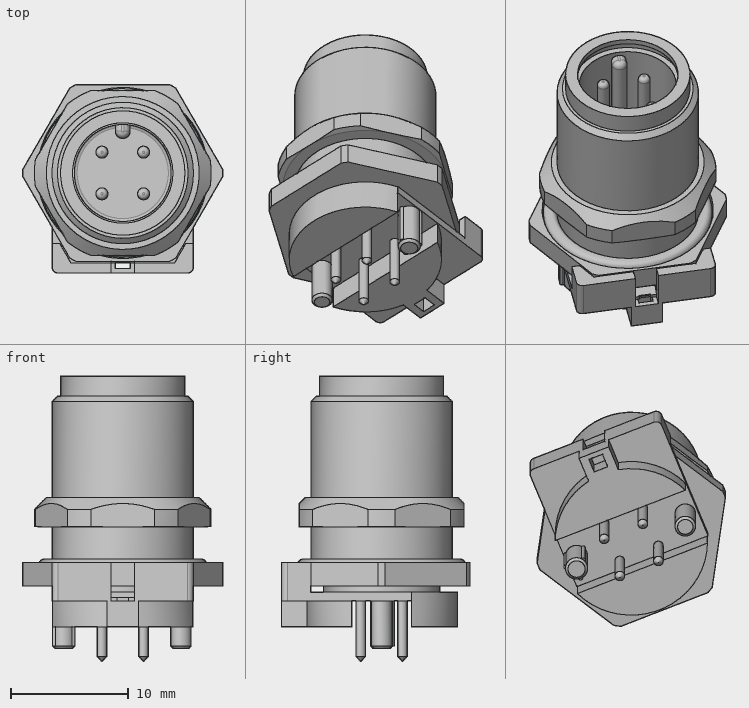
import cadquery as cq
import math


thread_radius = 6.0
thread_top = 13.65
thread_chamfer = 0.45
collar_radius = 5.28
collar_top = 15.8

mouth_radius = 4.25
undercut_radius = 4.62
mouth_depth = 0.48
undercut_depth = 1.25
socket_radius = 4.11
socket_depth = 8.95
socket_floor_rounding = 0.25
socket_floor = collar_top - socket_depth

key_radius = 0.63
key_center_y = 3.55
key_back_y = 4.72
key_top = collar_top - 1.65
key_rounding = 0.53

flange_flats = 15.0
flange_corner_diameter = 17.0
flange_thickness = 2.0

ring_tube_radius = 0.58
ring_height_above_seat = 0.31
groove_radius = 7.25
ring_center_radius = thread_radius + ring_tube_radius
ring_center_z = ring_height_above_seat - ring_tube_radius
groove_depth = ring_tube_radius - ring_center_z

nut_flats = 13.99
nut_corner_diameter = 15.0
nut_bottom = 3.0
nut_height = 2.52
nut_top_radius = 6.49
nut_bottom_radius = nut_flats / 2
nut_bottom_relief = 0.07

neck_radius = 4.94
plate_half_width = thread_radius
plate_top = -2.52
plate_bottom = -3.27
channel_half_width = 2.52
base_radius = 6.45
base_bottom = -5.47

bracket_front = -8.5
bracket_back = -plate_half_width
bracket_corner_radius = 0.5
bracket_clearance = 0.12
recess_flats = flange_flats + 2 * bracket_clearance
latch_slot_width = 1.98
lead_in_depth = 0.68
lead_in_height = 0.45
rib_width = 2.7
rib_hole_width = 1.23
rib_hole_front = -8.08
rib_hole_back = -6.9
plate_notch_width = 0.97
plate_notch_back = -7.5

pin_spacing = 3.53
contact_radius = 0.5
contact_top = collar_top - 2.18
contact_rounding = 0.4
tail_radius = 0.4
tail_bottom = -8.4
tail_point_height = 0.44
tail_point_radius = 0.012

peg_bottom = -7.3
peg_chamfer = 0.22
round_peg_x = 4.94
round_peg_radius = 0.87
ribbed_peg_x = -5.0
ribbed_peg_radius = 0.95
crush_rib_count = 3
crush_rib_radius = 0.2
crush_rib_offset = 0.9


def cylinder(radius, bottom, top, x=0, y=0):
    return cq.Workplane("XY", origin=(x, y, bottom)).circle(radius).extrude(top - bottom)


def box(x_min, x_max, y_min, y_max, z_min, z_max):
    size = (x_max - x_min, y_max - y_min, z_max - z_min)
    return cq.Workplane("XY", origin=(x_min, y_min, z_min)).box(*size, centered=False)


def hexagon(flats, bottom, top):
    """Hexagonal prism with two corners on the X axis."""
    corner_diameter = flats / math.cos(math.radians(30))
    return cq.Workplane("XY", origin=(0, 0, bottom)).polygon(6, corner_diameter).extrude(top - bottom)


def revolved(profile):
    """Solid of revolution about Z from (radius, z) points."""
    return cq.Workplane("XZ").polyline(profile).close().revolve(360, (0, 0, 0), (0, 1, 0))


def make_flange():
    """Hexagonal flange with turned corners and a groove for the O-ring."""
    flange = hexagon(flange_flats, -flange_thickness, 0)
    flange = flange.intersect(cylinder(flange_corner_diameter / 2, -flange_thickness, 0))
    return flange.cut(cylinder(groove_radius, -groove_depth, 0))


def make_shell():
    """Threaded cylinder with a bevelled end and a plain collar above it."""
    thread = cylinder(thread_radius, -flange_thickness, thread_top + thread_chamfer)
    thread = thread.faces(">Z").chamfer(thread_chamfer)
    return thread.union(cylinder(collar_radius, thread_top, collar_top))


def make_socket():
    """Space inside the shell: mouth, wider undercut and contact bore."""
    undercut_floor = collar_top - undercut_depth
    mouth = cylinder(mouth_radius, undercut_floor, collar_top)
    undercut = cylinder(undercut_radius, undercut_floor, collar_top - mouth_depth)
    bore = cylinder(socket_radius, socket_floor, undercut_floor)
    bore = bore.faces("<Z").edges().fillet(socket_floor_rounding)
    return mouth.union(undercut).union(bore)


def make_key():
    """Post with a round front and a domed top that runs back into the socket wall."""
    post = cylinder(key_radius, socket_floor, key_top, y=key_center_y)
    back = box(-key_radius, key_radius, key_center_y, key_back_y, socket_floor, key_top)
    return post.union(back).faces(">Z").edges().fillet(key_rounding)


def make_base():
    """Round foot split by a channel along X, with a flat rib at the front."""
    foot = cylinder(base_radius, base_bottom, plate_top)
    foot = foot.intersect(box(-plate_half_width, plate_half_width, -base_radius, base_radius,
                              base_bottom, plate_top))
    rib = box(-rib_width / 2, rib_width / 2, bracket_front, -channel_half_width, base_bottom, plate_bottom)
    channel = box(-base_radius, base_radius, -channel_half_width, channel_half_width,
                  base_bottom, plate_bottom)
    return foot.union(rib).cut(channel)


def make_bracket():
    """Plate under the flange, rising in front into a wall with a recess for the flange."""
    plate = box(-plate_half_width, plate_half_width, bracket_front, channel_half_width,
                plate_bottom, plate_top)
    wall = box(-plate_half_width, plate_half_width, bracket_front, bracket_back, plate_bottom, 0)
    recess = hexagon(recess_flats, plate_top, 0)
    bracket = plate.union(wall).edges("|Z and <Y").fillet(bracket_corner_radius)
    return bracket.cut(recess)


def make_latch_opening():
    """Slot through the bracket wall, lead-in and notch in the plate edge, and hole through the rib."""
    half_slot = latch_slot_width / 2
    half_notch = plate_notch_width / 2
    half_hole = rib_hole_width / 2
    edge_y = -recess_flats / 2
    slot = box(-half_slot, half_slot, bracket_front, edge_y, plate_bottom, 0)
    lead_in = (
        cq.Workplane("YZ", origin=(-half_slot, 0, 0))
        .polyline([
            (edge_y, plate_top),
            (edge_y + lead_in_depth, plate_top),
            (edge_y, plate_top - lead_in_height),
        ])
        .close()
        .extrude(latch_slot_width)
    )
    hole = box(-half_hole, half_hole, rib_hole_front, rib_hole_back, base_bottom, plate_bottom)
    notch = box(-half_notch, half_notch, edge_y, plate_notch_back, plate_bottom, plate_top - lead_in_height)
    return slot.union(lead_in).union(hole).union(notch)


def make_pin(x, y):
    """Domed contact in the socket and pointed solder tail below the plate."""
    contact = cylinder(contact_radius, socket_floor, contact_top, x, y)
    contact = contact.faces(">Z").edges().fillet(contact_rounding)
    tail = cylinder(tail_radius, tail_bottom, plate_top, x, y)
    tail = tail.faces("<Z").chamfer(tail_point_height, tail_radius - tail_point_radius)
    return contact.union(tail)


def make_peg(x, radius):
    return cylinder(radius, peg_bottom, plate_top, x).faces("<Z").chamfer(peg_chamfer)


def make_ribbed_peg():
    """Peg with round crush ribs along it, evenly spaced from the +Y side."""
    peg = make_peg(ribbed_peg_x, ribbed_peg_radius)
    rib_bottom = peg_bottom + peg_chamfer
    for index in range(crush_rib_count):
        angle = math.radians(90 + index * 360 / crush_rib_count)
        x = ribbed_peg_x + crush_rib_offset * math.cos(angle)
        y = crush_rib_offset * math.sin(angle)
        peg = peg.union(cylinder(crush_rib_radius, rib_bottom, plate_top, x, y))
    return peg


def make_connector():
    """Shell, flange, contact carrier, pegs and pins as one solid."""
    body = make_flange().union(make_shell()).cut(make_socket())
    body = body.union(make_key())
    body = body.union(cylinder(neck_radius, plate_top, -flange_thickness))
    carrier = make_base().union(make_bracket()).cut(make_latch_opening())
    body = body.union(carrier)
    body = body.union(make_ribbed_peg())
    body = body.union(make_peg(round_peg_x, round_peg_radius))
    for x in (-pin_spacing / 2, pin_spacing / 2):
        for y in (-pin_spacing / 2, pin_spacing / 2):
            body = body.union(make_pin(x, y))
    return body


def make_nut():
    """Nut whose corners are turned round and bevelled at 45 degrees on top."""
    corner_radius = nut_corner_diameter / 2
    top = nut_bottom + nut_height
    turned = revolved([
        (thread_radius, nut_bottom),
        (nut_bottom_radius, nut_bottom),
        (corner_radius, nut_bottom + nut_bottom_relief),
        (corner_radius, top - (corner_radius - nut_top_radius)),
        (nut_top_radius, top),
        (thread_radius, top),
    ])
    return turned.intersect(hexagon(nut_flats, nut_bottom, top))


def make_o_ring():
    """Ring that touches the thread cylinder and the floor of its groove."""
    profile = cq.Workplane("XZ").center(ring_center_radius, ring_center_z).circle(ring_tube_radius)
    return profile.revolve(360, (-ring_center_radius, 0, 0), (-ring_center_radius, 1, 0))


connector = make_connector()
nut = make_nut()
o_ring = make_o_ring()

result = cq.Compound.makeCompound([connector.val(), nut.val(), o_ring.val()])